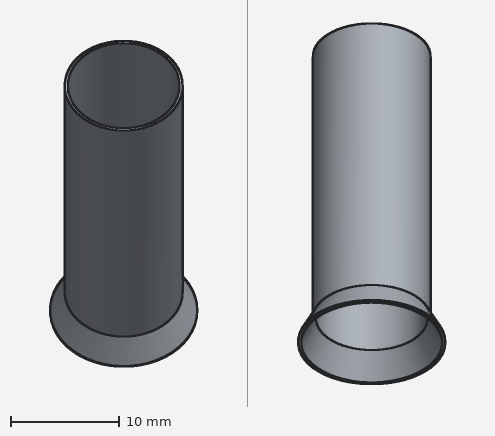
import cadquery as cq

total_length = 32.0
tube_outer_diameter = 10.9
wall_thickness = 0.3
flare_outer_diameter = 13.6
flare_height = 2.7
rim_height = 0.1

tube_outer_radius = tube_outer_diameter / 2
tube_inner_radius = tube_outer_radius - wall_thickness
flare_outer_radius = flare_outer_diameter / 2
flare_inner_radius = flare_outer_radius - wall_thickness


def make_ferrule():
    """Revolve the wall section about the Z axis."""
    wall_section = (
        cq.Workplane("XZ")
        .moveTo(flare_inner_radius, 0)
        .lineTo(flare_outer_radius, 0)
        .lineTo(flare_outer_radius, rim_height)
        .lineTo(tube_outer_radius, flare_height)
        .lineTo(tube_outer_radius, total_length)
        .lineTo(tube_inner_radius, total_length)
        .lineTo(tube_inner_radius, flare_height)
        .close()
    )
    return wall_section.revolve(360, (0, 0, 0), (0, 1, 0))


result = make_ferrule()